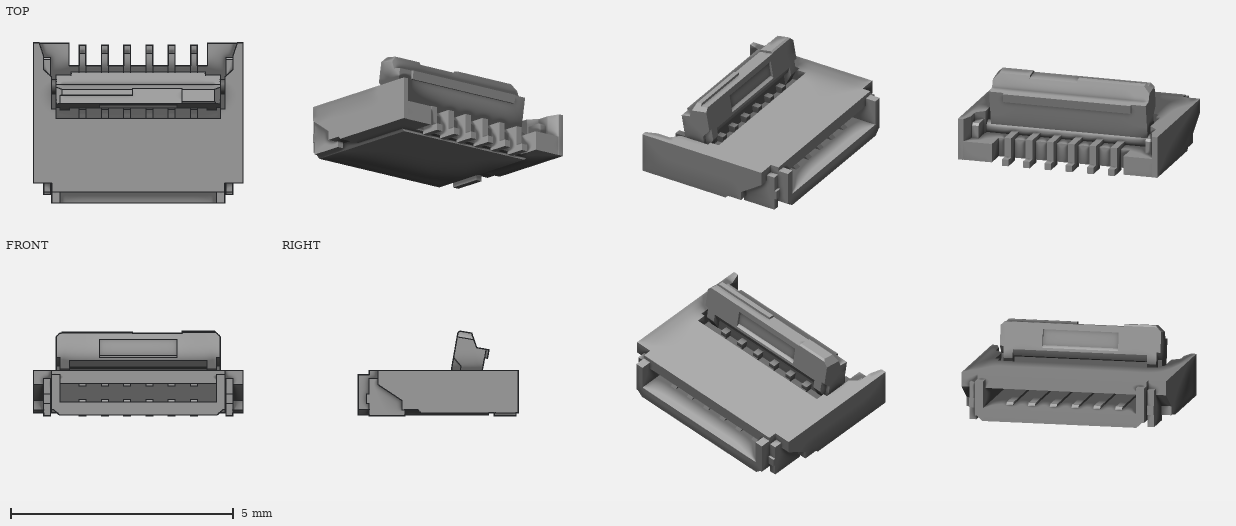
import cadquery as cq


WIDTH = 4.7
REAR_Y = 1.8
FRONT_Y = -1.8
TOP_Z = 1.02

WING_BOTTOM_Z = 0.07
WING_FRONT_Y = -1.35
WING_FLOOR_FRONT_Y = -0.40
WING_FLOOR_BEVEL = 0.065
WING_STEP_Y = -0.81
WING_STEP_TOP_Z = 0.342
WING_NOSE_BOTTOM_Z = 0.70
CORE_HALF = 1.943
CORE_BOTTOM_Z = 0.02
CORE_REAR_Y = 1.285
CORE_STEP_Y = 1.13
CORE_CHAMFER_OUTER_X = 1.90
CORE_CHAMFER_INNER_X = 1.77
CORE_CHAMFER_TOP_Z = 0.14
ROOF_FRONT_Y = -1.55
POST_TOP_Z = 0.925
SLOT_HALF = 1.755
SLOT_FLOOR_Z = 0.315
SLOT_CEILING_Z = 0.727
SLOT_REAR_Y = 0.35
NOTCH_HALF = 1.55
SHELF_REAR_Y = 1.79
SHELF_Z = 0.5
WELL_FRONT_Y = 0.096
WELL_SIDE_FRONT_Y = 0.316
SEAT_REAR_Y = 0.6
SEAT_TOP_Z = 0.75
HORN_TIP_X = 2.225
HORN_SIDE_X = 2.13
HORN_TAPER_Y = 1.52
HORN_ROOT_Y = 1.205
HORN_BEVEL_END_Y = 1.03

CONTACT_COUNT = 6
CONTACT_PITCH = 0.5
CONTACT_WIDTH = 0.155
TAIL_END_Y = 1.747
TAIL_BEND_Y = 1.56
TAIL_FRONT_Y = 1.255
TAIL_TOP_Z = 0.15
ARM_TOP_Z = 0.6
LOWER_TIP_Y = -1.33
LOWER_TIP_RAMP = 0.08
LOWER_TIP_Z = 0.37
UPPER_TIP_Y = -1.0
UPPER_TIP_Z = 0.675
BEAM_LOW_TOP_Z = 0.8
BEAM_TOP_Z = 0.9
BEAM_KNEE_Y = 0.30
BEAM_REAR_Y = 0.7

PLATE_OUTER_X = 2.12
PLATE_THICKNESS = 0.155
PLATE_TOP_Z = 0.842
PLATE_BOTTOM_Z = 0.14
PLATE_REAR_Y = 1.47
PLATE_BEVEL = 0.05
FOOT_REAR_Y = -0.75
LATCH_FRONT_Y = -1.605
LATCH_LOW_Z = 0.283
LATCH_HIGH_Z = 0.49

LEVER_TILT = 10.0
LEVER_Y = 0.29
LEVER_HALF = 1.845
LEVER_TOP = 0.85
LEVER_BOTTOM = -0.6
LEVER_DEPTH = 0.69
LEDGE_HEIGHT = 0.605
LEDGE_DEPTH = 0.475
CREST_DEPTH = 0.31
CORNER_CHAMFER = 0.14
FLAP_HALF = 1.503
FLAP_BOTTOM = 0.408
FLAP_DEPTH = 0.757
RECESS_DEPTH = 0.2
LEG_OUTER = 1.757
LEG_INNER = 1.543
LEG_BOTTOM = 0.03
LEG_UNDERSIDE_DROP = 0.28
SIDE_NOTCH_TOP = 0.297
SIDE_NOTCH_DROP = 0.166
ARCH_TOP = 0.23
ARCH_KNEE_DEPTH = 0.08
ARCH_KNEE_HEIGHT = 0.09
ARCH_BACK_HEIGHT = 0.066
WINDOW_HALF = 0.87
WINDOW_DEPTH = 0.06
WINDOW_LOW = 0.292
WINDOW_SILL = 0.35
WINDOW_HIGH = 0.71
TAB_LEFT_X = 0.985
TAB_TOP = 0.905
TAB_BEVEL = 0.04
RIDGE_RIGHT_X = -0.133
RIDGE_FRONT = 0.183
AXLE_Y = 0.81
AXLE_Z = 0.6
AXLE_RADIUS = 0.16


def box(x0, x1, y0, y1, z0, z1):
    return cq.Workplane("XY").box(x1 - x0, y1 - y0, z1 - z0, centered=False).translate((x0, y0, z0))


def side_prism(x0, x1, outline):
    """Extrude a (y, z) outline from x0 to x1."""
    return cq.Workplane("YZ").workplane(offset=x0).polyline(outline).close().extrude(x1 - x0)


def both_sides(shape):
    return shape.union(shape.mirror("YZ"))


def make_wings():
    """Side walls with the front underside swept up."""
    raised_z = WING_BOTTOM_Z + WING_FLOOR_BEVEL
    outline = [
        (REAR_Y, TOP_Z),
        (REAR_Y, WING_BOTTOM_Z),
        (WING_FLOOR_FRONT_Y, WING_BOTTOM_Z),
        (WING_FLOOR_FRONT_Y - WING_FLOOR_BEVEL, raised_z),
        (WING_STEP_Y, raised_z),
        (WING_STEP_Y, WING_STEP_TOP_Z),
        (WING_FRONT_Y, WING_NOSE_BOTTOM_Z),
        (WING_FRONT_Y, TOP_Z),
    ]
    return side_prism(-WIDTH / 2, WIDTH / 2, outline)


def make_core():
    """Central block with bevelled lower edges; its floor and side posts reach past the roof."""
    outline = [
        (-CORE_HALF, TOP_Z),
        (-CORE_HALF, CORE_CHAMFER_TOP_Z),
        (-CORE_CHAMFER_OUTER_X, CORE_CHAMFER_TOP_Z),
        (-CORE_CHAMFER_INNER_X, CORE_BOTTOM_Z),
        (CORE_CHAMFER_INNER_X, CORE_BOTTOM_Z),
        (CORE_CHAMFER_OUTER_X, CORE_CHAMFER_TOP_Z),
        (CORE_HALF, CORE_CHAMFER_TOP_Z),
        (CORE_HALF, TOP_Z),
    ]
    core = cq.Workplane("XZ").polyline(outline).close().extrude(CORE_REAR_Y - FRONT_Y)
    core = core.translate((0, CORE_REAR_Y, 0))
    core = core.cut(box(-CORE_HALF, CORE_HALF, CORE_STEP_Y, CORE_REAR_Y, 0, WING_BOTTOM_Z))
    core = core.cut(box(-CORE_HALF, CORE_HALF, FRONT_Y, ROOF_FRONT_Y, POST_TOP_Z, TOP_Z))
    return core.cut(box(-SLOT_HALF, SLOT_HALF, FRONT_Y, ROOF_FRONT_Y, SLOT_FLOOR_Z, TOP_Z))


def make_well():
    """Space above the rear shelf, between the two tapered horns, where the lever swings."""
    right_edge = [
        (LEVER_HALF, WELL_FRONT_Y),
        (LEVER_HALF, WELL_SIDE_FRONT_Y),
        (CORE_HALF, WELL_SIDE_FRONT_Y),
        (CORE_HALF, HORN_BEVEL_END_Y),
        (HORN_SIDE_X, HORN_ROOT_Y),
        (HORN_SIDE_X, HORN_TAPER_Y),
        (HORN_TIP_X, REAR_Y),
    ]
    left_edge = [(-x, y) for x, y in reversed(right_edge)]
    well = cq.Workplane("XY").workplane(offset=SHELF_Z).polyline(right_edge + left_edge).close()
    return well.extrude(TOP_Z - SHELF_Z)


def make_housing():
    """Wings and core joined, opened by the rear notch, the lever well and the ribbon slot."""
    housing = make_wings()
    housing = housing.cut(box(-NOTCH_HALF, NOTCH_HALF, CORE_REAR_Y, REAR_Y, 0, TOP_Z))
    housing = housing.cut(box(-HORN_TIP_X, HORN_TIP_X, SHELF_REAR_Y, REAR_Y, 0, TOP_Z))
    under_core = box(-CORE_HALF, CORE_HALF, WING_FRONT_Y, WING_FLOOR_FRONT_Y, 0, SLOT_FLOOR_Z)
    housing = housing.cut(under_core).union(make_core())
    housing = housing.cut(make_well())
    housing = housing.union(box(-LEVER_HALF, LEVER_HALF, WELL_FRONT_Y, SEAT_REAR_Y, SHELF_Z, SEAT_TOP_Z))
    return housing.cut(box(-SLOT_HALF, SLOT_HALF, FRONT_Y, SLOT_REAR_Y, SLOT_FLOOR_Z, SLOT_CEILING_Z))


def make_contact(x):
    """Upper spring beam, lower contact strip and solder tail at one position."""
    left, right = x - CONTACT_WIDTH / 2, x + CONTACT_WIDTH / 2
    beam_and_tail = [
        (UPPER_TIP_Y, UPPER_TIP_Z),
        (SLOT_REAR_Y, UPPER_TIP_Z),
        (SLOT_REAR_Y, TAIL_TOP_Z),
        (TAIL_FRONT_Y, TAIL_TOP_Z),
        (TAIL_FRONT_Y, 0),
        (TAIL_END_Y, 0),
        (TAIL_END_Y, TAIL_TOP_Z),
        (TAIL_BEND_Y, TAIL_TOP_Z),
        (TAIL_BEND_Y, ARM_TOP_Z),
        (BEAM_REAR_Y, ARM_TOP_Z),
        (BEAM_REAR_Y, BEAM_TOP_Z),
        (BEAM_KNEE_Y, BEAM_TOP_Z),
        (BEAM_KNEE_Y, BEAM_LOW_TOP_Z),
        (UPPER_TIP_Y, BEAM_LOW_TOP_Z),
    ]
    strip = [
        (LOWER_TIP_Y, SLOT_FLOOR_Z - LOWER_TIP_RAMP),
        (LOWER_TIP_Y, SLOT_FLOOR_Z),
        (LOWER_TIP_Y + LOWER_TIP_RAMP, LOWER_TIP_Z),
        (SLOT_REAR_Y, LOWER_TIP_Z),
        (SLOT_REAR_Y, SLOT_FLOOR_Z - LOWER_TIP_RAMP),
    ]
    return side_prism(left, right, beam_and_tail).union(side_prism(left, right, strip))


def make_retention_plate():
    """Right-hand metal plate with a front latch nub and a foot on the board."""
    outline = [
        (FOOT_REAR_Y, 0),
        (ROOF_FRONT_Y, 0),
        (ROOF_FRONT_Y, LATCH_LOW_Z),
        (LATCH_FRONT_Y, LATCH_LOW_Z),
        (LATCH_FRONT_Y, LATCH_HIGH_Z),
        (ROOF_FRONT_Y, LATCH_HIGH_Z),
        (ROOF_FRONT_Y, PLATE_TOP_Z),
        (PLATE_REAR_Y - PLATE_BEVEL, PLATE_TOP_Z),
        (PLATE_REAR_Y, PLATE_TOP_Z - PLATE_BEVEL),
        (PLATE_REAR_Y, PLATE_BOTTOM_Z),
        (FOOT_REAR_Y, PLATE_BOTTOM_Z),
    ]
    return side_prism(PLATE_OUTER_X - PLATE_THICKNESS, PLATE_OUTER_X, outline)


def make_lever_block():
    """Lever with a sloping back above a ledge, bevelled top corners, a right tab and a left rear ridge."""
    block = (
        cq.Workplane("YZ")
        .workplane(offset=-LEVER_HALF)
        .moveTo(0, LEVER_BOTTOM)
        .lineTo(0, TAB_TOP - TAB_BEVEL)
        .lineTo(TAB_BEVEL, TAB_TOP)
        .lineTo(CREST_DEPTH, TAB_TOP)
        .lineTo(LEDGE_DEPTH, LEDGE_HEIGHT)
        .lineTo(LEVER_DEPTH, LEDGE_HEIGHT)
        .lineTo(LEVER_DEPTH, LEVER_BOTTOM)
        .close()
        .extrude(2 * LEVER_HALF)
    )
    corner = [
        (LEVER_HALF, TAB_TOP - CORNER_CHAMFER),
        (LEVER_HALF, TAB_TOP),
        (LEVER_HALF - CORNER_CHAMFER, TAB_TOP),
    ]
    corner_cut = cq.Workplane("XZ").polyline(corner).close().extrude(-LEVER_DEPTH)
    block = block.cut(both_sides(corner_cut))
    block = block.cut(box(RIDGE_RIGHT_X, TAB_LEFT_X, 0, LEVER_DEPTH, LEVER_TOP, TAB_TOP))
    return block.cut(box(-LEVER_HALF, RIDGE_RIGHT_X, 0, RIDGE_FRONT, LEVER_TOP, TAB_TOP))


def make_undercut(x0, x1, front_height, drop):
    """Cutter for the lower front of the lever, its ceiling falling by drop towards the back."""
    outline = [
        (0, LEVER_BOTTOM),
        (0, front_height),
        (RECESS_DEPTH, front_height - drop),
        (RECESS_DEPTH, LEVER_BOTTOM),
    ]
    return side_prism(x0, x1, outline)


def make_lever():
    """Tilted lever with rear flap, front window, two legs astride an arch, and pivot axle."""
    lever = make_lever_block()
    flap = box(-FLAP_HALF, FLAP_HALF, LEVER_DEPTH, FLAP_DEPTH, FLAP_BOTTOM, LEDGE_HEIGHT)
    lever = lever.union(flap)
    lever = lever.cut(both_sides(make_undercut(LEG_OUTER, LEVER_HALF, SIDE_NOTCH_TOP, SIDE_NOTCH_DROP)))
    lever = lever.cut(both_sides(make_undercut(LEG_INNER, LEG_OUTER, LEG_BOTTOM, LEG_UNDERSIDE_DROP)))
    arch = [
        (0, LEVER_BOTTOM),
        (0, ARCH_TOP),
        (ARCH_KNEE_DEPTH, ARCH_KNEE_HEIGHT),
        (RECESS_DEPTH, ARCH_BACK_HEIGHT),
        (RECESS_DEPTH, LEVER_BOTTOM),
    ]
    lever = lever.cut(side_prism(-LEG_INNER, LEG_INNER, arch))

    window = [(0, WINDOW_LOW), (WINDOW_DEPTH, WINDOW_SILL), (WINDOW_DEPTH, WINDOW_HIGH), (0, WINDOW_HIGH)]
    lever = lever.cut(side_prism(-WINDOW_HALF, WINDOW_HALF, window))
    lever = lever.rotate((0, 0, 0), (1, 0, 0), -LEVER_TILT).translate((0, LEVER_Y, TOP_Z))

    axle = cq.Workplane("YZ").workplane(offset=-CORE_HALF).center(AXLE_Y, AXLE_Z)
    return lever.union(axle.circle(AXLE_RADIUS).extrude(2 * CORE_HALF))


result = make_housing().union(both_sides(make_retention_plate())).union(make_lever())
for index in range(CONTACT_COUNT):
    result = result.union(make_contact((index - (CONTACT_COUNT - 1) / 2) * CONTACT_PITCH))